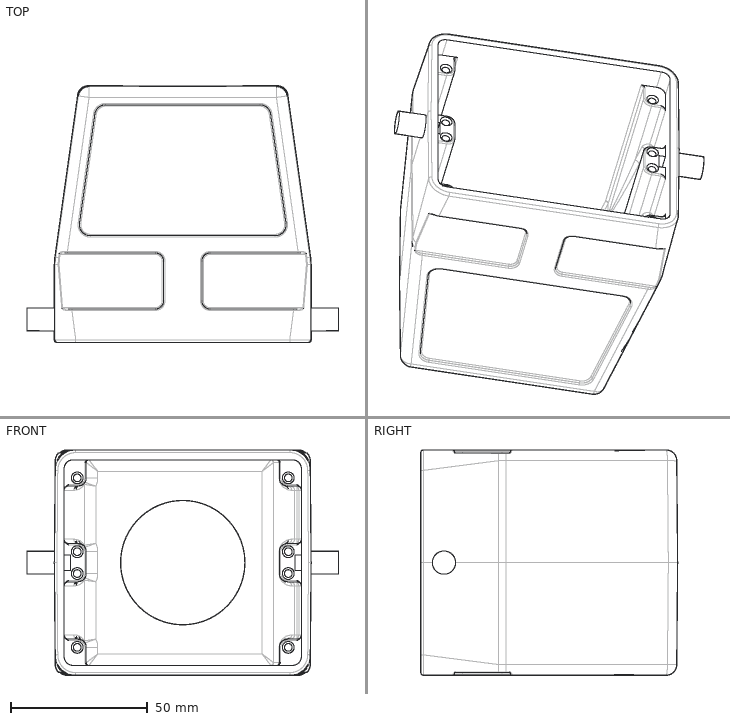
import cadquery as cq
import math

DEPTH = 94.0
HEIGHT = 82.5
WIDTH = 94.0
OPENING_Y = -DEPTH / 2
BACK_Y = DEPTH / 2
HALF_HEIGHT = HEIGHT / 2

DRAFT = math.tan(math.radians(0.5))
LEAN = math.tan(math.radians(8.0))
BEND_Y = -17.2
BEND_BLEND = 1.3
EDGE_RADIUS = 4.0
OPENING_CORNER_RADIUS = 7.7
RIM_RADIUS = 1.0

CAVITY_HALF_WIDTH = 43.4
CAVITY_HALF_HEIGHT = 37.6
FLOOR_Y = 42.0
LEFT_BEND_Y = -14.8
STEP_Y = BEND_Y
STEP_HEIGHT = 2.4
STEP_RADIUS = 0.9
CAVITY_CORNER_RADIUS = 3.3
FLOOR_RADIUS = 4.2
CABLE_ENTRY_DIAMETER = 45.4

BOSS_FRONT_Y = -38.8
BOSS_INNER_X = 35.3
SCREW_X = 38.6
CORNER_SCREW_Z = 31.0
CENTRE_SCREW_Z = 4.0
BOSS_RADIUS = 3.0
BOSS_RIM_RADIUS = 0.5
BOSS_ROOT_RADIUS = 1.6
BOSS_FOOT_RADIUS = 1.0
SCREW_HOLE_DIAMETER = 2.8
SCREW_SINK_DIAMETER = 4.3
SCREW_HOLE_DEPTH = 12.0
NOTCH_INNER_X = 41.0
NOTCH_HALF_HEIGHT = 2.8
NOTCH_DEPTH = 10.0

PIN_DIAMETER = 8.5
PIN_SPAN = 114.0
PIN_Y = -38.5
PIN_EMBED = 1.0

PANEL_DEPTH = 1.1
PANEL_EDGE_RADIUS = 0.5
LABEL_FRONT_Y = -7.9
LABEL_BACK_Y = 40.0
LABEL_FRONT_HALF_WIDTH = 38.4
LABEL_CORNER_RADIUS = 4.0
PAD_FRONT_Y = -34.7
PAD_BACK_Y = -14.2
PAD_INNER_X = 7.0
PAD_CORNER_RADIUS = 3.0

OVERRUN = 5.0


def box_between(corner, opposite):
    """Selector for items centred between two opposite corners."""
    low = [min(pair) for pair in zip(corner, opposite)]
    high = [max(pair) for pair in zip(corner, opposite)]
    return cq.selectors.BoxSelector(low, high)


def section(half_width, radius, y):
    """Rounded outer outline at depth y, widest at the parting plane."""
    narrow = half_width - HALF_HEIGHT * DRAFT
    outline = [
        (half_width, 0),
        (narrow, HALF_HEIGHT),
        (-narrow, HALF_HEIGHT),
        (-half_width, 0),
        (-narrow, -HALF_HEIGHT),
        (narrow, -HALF_HEIGHT),
        (half_width, 0),
    ]
    sketch = cq.Sketch().polygon(outline).vertices(">Y or <Y").fillet(radius)
    return sketch.moved(cq.Location(cq.Vector(0, 0, -y)))


def loft(*sections):
    return cq.Workplane("XZ").placeSketch(*sections).loft(ruled=True)


def outer_shell():
    half = WIDTH / 2
    front_bend = BEND_Y - BEND_BLEND
    rear_bend = BEND_Y + BEND_BLEND
    end_y = BACK_Y + OVERRUN
    rear_half = half - LEAN * BEND_BLEND
    end_half = half - LEAN * (end_y - BEND_Y)
    mouth = section(half, OPENING_CORNER_RADIUS, OPENING_Y)
    bend_start = section(half, EDGE_RADIUS, front_bend)
    bend_end = section(rear_half, EDGE_RADIUS, rear_bend)
    tail = section(end_half, EDGE_RADIUS, end_y)
    shell = loft(mouth, bend_start).union(loft(bend_start, bend_end)).union(loft(bend_end, tail))

    back_edge = BACK_Y - HALF_HEIGHT * DRAFT
    side_profile = [
        (OPENING_Y, HALF_HEIGHT),
        (back_edge, HALF_HEIGHT),
        (BACK_Y, 0),
        (back_edge, -HALF_HEIGHT),
        (OPENING_Y, -HALF_HEIGHT),
    ]
    envelope = cq.Workplane("YZ").polyline(side_profile).close().extrude(half, both=True)
    shell = shell.intersect(envelope)
    back = box_between((-half, back_edge - 1, -half), (half, BACK_Y + 1, half))
    parting_line = box_between((-half, back_edge - 1, -1), (half, BACK_Y + 1, 1))
    back_rim = shell.edges(cq.selectors.SubtractSelector(back, parting_line))
    shell = back_rim.fillet(EDGE_RADIUS)
    return shell.faces("<Y").edges().fillet(RIM_RADIUS)


def boss(side, low_z, high_z):
    """Rib along Y from the boss face to the floor, standing off a side wall."""
    width = CAVITY_HALF_WIDTH + OVERRUN - BOSS_INNER_X
    rib = (
        cq.Workplane("XZ", origin=(side * (BOSS_INNER_X + width / 2), BOSS_FRONT_Y, (low_z + high_z) / 2))
        .rect(width, high_z - low_z)
        .extrude(BOSS_FRONT_Y - BACK_Y)
    )
    inner = "<X" if side > 0 else ">X"
    rib = rib.edges("|Y").edges(inner).fillet(BOSS_RADIUS)
    return rib.faces("<Y").edges("|Z").edges(inner).fillet(BOSS_RIM_RADIUS)


def bosses():
    ribs = cq.Workplane()
    outer_z = CAVITY_HALF_HEIGHT + OVERRUN
    inner_z = CORNER_SCREW_Z - BOSS_RADIUS
    centre_z = CENTRE_SCREW_Z + BOSS_RADIUS
    for side in (-1, 1):
        ribs = ribs.union(boss(side, -centre_z, centre_z))
        ribs = ribs.union(boss(side, inner_z, outer_z))
        ribs = ribs.union(boss(side, -outer_z, -inner_z))
    return ribs


def round_boss_roots(space):
    """Fillet the lines where the boss flanks meet the side walls."""
    flank_heights = (CORNER_SCREW_Z - BOSS_RADIUS, CENTRE_SCREW_Z + BOSS_RADIUS)
    gap = 0.1
    back_y = FLOOR_Y - FLOOR_RADIUS + gap
    for side in (-1, 1):
        near_x = side * (BOSS_INNER_X + gap)
        far_x = side * (CAVITY_HALF_WIDTH + gap)
        roots = None
        for height in flank_heights:
            for z in (-height, height):
                line = box_between((near_x, BOSS_FRONT_Y + 1, z - gap), (far_x, back_y, z + gap))
                roots = line if roots is None else roots + line
        flank_edges = space.edges(roots).edges("not(|X)").edges("not(|Z)")
        space = flank_edges.fillet(BOSS_ROOT_RADIUS)
    return space


def round_boss_feet(space):
    """Fillet the lines where the corner bosses meet the upper and lower walls."""
    gap = 0.1
    back_y = FLOOR_Y - FLOOR_RADIUS
    feet = None
    for side in (-1, 1):
        x = side * BOSS_INNER_X
        for z in (-CAVITY_HALF_HEIGHT, CAVITY_HALF_HEIGHT):
            line = box_between((x - gap, BOSS_FRONT_Y, z - gap), (x + gap, back_y, z + gap))
            feet = line if feet is None else feet + line
    return space.edges("|Y").edges(feet).fillet(BOSS_FOOT_RADIUS)


def mouth():
    """Cavity between the opening and the boss faces, with rounded corners."""
    length = BOSS_FRONT_Y - OPENING_Y + OVERRUN
    return (
        cq.Workplane("XZ", origin=(0, BOSS_FRONT_Y, 0))
        .rect(2 * CAVITY_HALF_WIDTH, 2 * CAVITY_HALF_HEIGHT)
        .extrude(length)
        .edges("|Y")
        .fillet(CAVITY_CORNER_RADIUS)
    )


def cavity():
    step_x = CAVITY_HALF_WIDTH - STEP_HEIGHT
    floor_left = CAVITY_HALF_WIDTH - LEAN * (FLOOR_Y - LEFT_BEND_Y)
    floor_right = step_x - LEAN * (FLOOR_Y - STEP_Y)
    outline = [
        (-CAVITY_HALF_WIDTH, BOSS_FRONT_Y),
        (CAVITY_HALF_WIDTH, BOSS_FRONT_Y),
        (CAVITY_HALF_WIDTH, STEP_Y),
        (step_x, STEP_Y),
        (floor_right, FLOOR_Y),
        (-floor_left, FLOOR_Y),
        (-CAVITY_HALF_WIDTH, LEFT_BEND_Y),
    ]
    space = cq.Workplane("XY").polyline(outline).close().extrude(CAVITY_HALF_HEIGHT, both=True)
    step = box_between((0, STEP_Y - 1, -WIDTH), (WIDTH, STEP_Y + 1, WIDTH))
    space = space.edges("|Z").edges(step).fillet(STEP_RADIUS)
    space = space.cut(bosses()).faces(">Y").edges().fillet(FLOOR_RADIUS)
    space = round_boss_feet(round_boss_roots(space))

    return space.union(mouth())


def screw_holes():
    """Countersunk blind holes opening on the boss faces."""
    heights = (-CORNER_SCREW_Z, -CENTRE_SCREW_Z, CENTRE_SCREW_Z, CORNER_SCREW_Z)
    points = [(side * SCREW_X, z) for side in (-1, 1) for z in heights]
    face = cq.Workplane("XZ", origin=(0, BOSS_FRONT_Y, 0)).pushPoints(points)
    holes = face.circle(SCREW_HOLE_DIAMETER / 2).extrude(-SCREW_HOLE_DEPTH)
    sink_depth = (SCREW_SINK_DIAMETER - SCREW_HOLE_DIAMETER) / 2
    sink = cq.Solid.makeCone(
        SCREW_SINK_DIAMETER / 2, SCREW_HOLE_DIAMETER / 2, sink_depth, dir=cq.Vector(0, 1, 0)
    )
    for x, z in points:
        holes = holes.union(cq.Workplane(sink.moved(cq.Location(cq.Vector(x, BOSS_FRONT_Y, z)))))
    return holes


def boss_notches():
    """Pockets between each centre boss and its side wall."""
    width = CAVITY_HALF_WIDTH - NOTCH_INNER_X
    centre_x = NOTCH_INNER_X + width / 2
    return (
        cq.Workplane("XZ", origin=(0, BOSS_FRONT_Y, 0))
        .pushPoints([(-centre_x, 0), (centre_x, 0)])
        .rect(width, 2 * NOTCH_HALF_HEIGHT)
        .extrude(-NOTCH_DEPTH)
    )


def pins():
    """Locking pins standing out from the side walls."""
    length = PIN_SPAN / 2 - CAVITY_HALF_WIDTH - PIN_EMBED
    right = (
        cq.Workplane("YZ", origin=(CAVITY_HALF_WIDTH + PIN_EMBED, PIN_Y, 0))
        .circle(PIN_DIAMETER / 2)
        .extrude(length)
    )
    return right.union(right.mirror("YZ"))


def panel_cutter(outline, corner_radius):
    """Cutter for the upper face whose rim and floor edges are both rounded."""
    floor_z = HALF_HEIGHT - PANEL_DEPTH
    pocket = cq.Workplane("XY", origin=(0, 0, floor_z)).polyline(outline).close().extrude(PANEL_DEPTH)
    pocket = pocket.edges("|Z").fillet(corner_radius)
    return pocket.faces("<Z").edges().fillet(PANEL_EDGE_RADIUS)


def label_panel():
    lean = (LABEL_BACK_Y - LABEL_FRONT_Y) * LEAN
    back_half_width = LABEL_FRONT_HALF_WIDTH - lean
    outline = [
        (-LABEL_FRONT_HALF_WIDTH, LABEL_FRONT_Y),
        (LABEL_FRONT_HALF_WIDTH, LABEL_FRONT_Y),
        (back_half_width, LABEL_BACK_Y),
        (-back_half_width, LABEL_BACK_Y),
    ]
    return panel_cutter(outline, LABEL_CORNER_RADIUS)


def side_pad():
    outer_x = WIDTH / 2 + OVERRUN
    outline = [
        (PAD_INNER_X, PAD_FRONT_Y),
        (outer_x, PAD_FRONT_Y),
        (outer_x, PAD_BACK_Y),
        (PAD_INNER_X, PAD_BACK_Y),
    ]
    return panel_cutter(outline, PAD_CORNER_RADIUS)


def panels():
    pad = side_pad()
    upper = label_panel().union(pad).union(pad.mirror("YZ"))
    return upper.union(upper.mirror("XY"))


def round_panel_rims(shell):
    """Round the panel rims on the flat upper and lower faces, leaving the outer edges alone."""
    reach = LABEL_FRONT_HALF_WIDTH - PANEL_EDGE_RADIUS
    low = (-reach, PAD_FRONT_Y - PANEL_EDGE_RADIUS, -WIDTH)
    high = (reach, LABEL_BACK_Y + PANEL_EDGE_RADIUS, WIDTH)
    rims = shell.faces(">Z or <Z").edges(box_between(low, high))
    return rims.fillet(PANEL_EDGE_RADIUS)


def cable_entry():
    return (
        cq.Workplane("XZ", origin=(0, BACK_Y + OVERRUN, 0))
        .circle(CABLE_ENTRY_DIAMETER / 2)
        .extrude(BACK_Y + OVERRUN)
    )


hood = round_panel_rims(outer_shell().cut(panels())).cut(cavity())
hood = hood.cut(screw_holes()).cut(boss_notches()).cut(cable_entry())
result = hood.union(pins())